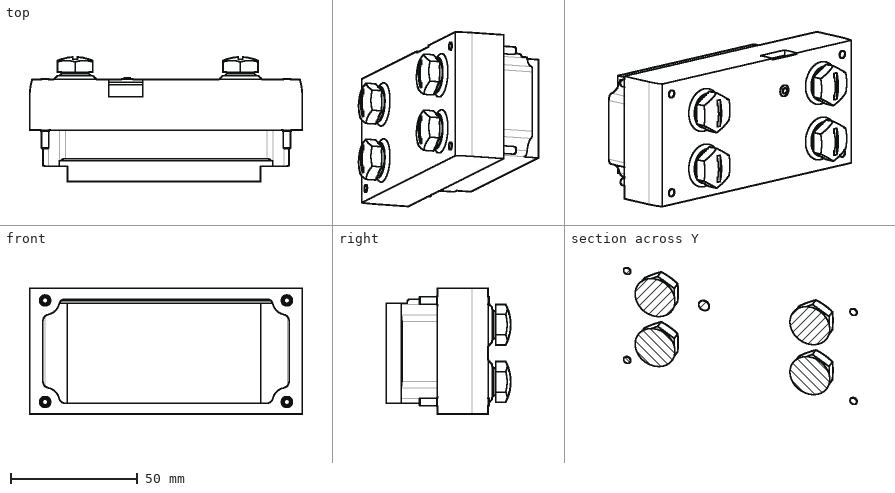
import cadquery as cq
import math


housing_width = 107.6
housing_height = 49.7
housing_depth = 20.0
side_inset = 1.0
side_curve_depth = 6.5

insert_half_width = 48.5
insert_half_height = 20.5
shoulder_depth = 14.2
relief_radius = 5.7
relief_fillet = 2.6
end_bevel_width = 0.8
end_bevel_depth = 0.2
rail_depth = 11.9
rail_chamfer = 0.8
slab_half_width = 38.1
slab_x = -0.8
slab_depth = 20.2
slab_top = 18.9

pin_x = 47.7
pin_z = 20.0
pin_diameter = 3.0
pin_front_length = 7.2
pin_back_length = 0.3
pin_chamfer = 0.38
collar_diameter = 3.3
collar_length = 0.3
countersink_diameter = 4.3

pocket_x = -15.8
pocket_width = 13.3
pocket_length = 6.9
pocket_depth = 2.2
lip_length = 1.1
lip_depth = 0.5
lip_slope_length = 1.1

button_x = -15.3
button_z = 10.8
button_diameter = 4.5
button_height = 0.3
button_tip_diameter = 2.3
button_tip_height = 0.6

bolt_columns = (-35.8, 29.4)
bolt_rows = (-12.0, 10.4)
bolt_height = 8.9
hex_across_flats = 14.0
hex_start = 2.9
dome_radius = 17.2
slot_width = 1.7
slot_depth = 0.9
neck_diameter = 10.9
washer_diameter = 12.5
washer_top = 2.3
cone_base_diameter = 17.1
cone_top_diameter = 14.0
cone_height = 1.5

total_depth = slab_depth + housing_depth + bolt_height
slab_y = -total_depth / 2
front_y = slab_y + slab_depth
back_y = front_y + housing_depth
shoulder_y = front_y - shoulder_depth

pin_places = [(x, z) for x in (-pin_x, pin_x) for z in (-pin_z, pin_z)]
bolt_places = [(x, z) for x in bolt_columns for z in bolt_rows]


def prism_along_y(outline, y_start, y_end):
    """Extrude an outline drawn on the XZ plane between two Y levels."""
    return outline.extrude(y_end - y_start).translate((0, y_end, 0))


def revolved(profile, x, y, z):
    """Turn a closed profile of (radius, distance along +Y) points about Y and place it."""
    turned = cq.Workplane("XY").polyline(profile).close().revolve(360, (0, 0), (0, 1))
    return turned.translate((x, y, z))


def housing_block():
    """Block whose left and right sides curve inwards towards the back."""
    half_width = housing_width / 2
    curve_start = back_y - side_curve_depth
    curve_radius = (side_curve_depth**2 + side_inset**2) / (2 * side_inset)
    return (
        cq.Workplane("XY")
        .moveTo(-half_width, front_y)
        .lineTo(half_width, front_y)
        .lineTo(half_width, curve_start)
        .radiusArc((half_width - side_inset, back_y), -curve_radius)
        .lineTo(-half_width + side_inset, back_y)
        .radiusArc((-half_width, curve_start), -curve_radius)
        .close()
        .extrude(housing_height / 2, both=True)
    )


def relieved_shoulder():
    """Rectangular shoulder with a rounded relief around each corner pin."""
    plan = cq.Workplane("XZ").rect(2 * insert_half_width, 2 * insert_half_height)
    reliefs = cq.Workplane("XZ").pushPoints(pin_places).circle(relief_radius)
    shoulder = prism_along_y(plan, shoulder_y, front_y)
    shoulder = shoulder.cut(prism_along_y(reliefs, shoulder_y, front_y))
    return shoulder.edges("|Y").fillet(relief_fillet)


def end_bevel(side):
    """Cutter for the flat bevel on one end of the shoulder; side is -1 or 1."""
    return (
        cq.Workplane("XY")
        .moveTo(side * insert_half_width, shoulder_y)
        .lineTo(side * insert_half_width, shoulder_y + end_bevel_depth)
        .lineTo(side * (insert_half_width - end_bevel_width), shoulder_y)
        .close()
        .extrude(insert_half_height, both=True)
    )


def rail_step():
    """Cutter that lowers the shoulder in front of its top rail and chamfers the rail."""
    rail_y = front_y - rail_depth
    return (
        cq.Workplane("YZ")
        .moveTo(shoulder_y, slab_top)
        .lineTo(rail_y, slab_top)
        .lineTo(rail_y, insert_half_height - rail_chamfer)
        .lineTo(rail_y + rail_chamfer, insert_half_height)
        .lineTo(shoulder_y, insert_half_height)
        .close()
        .extrude(insert_half_width, both=True)
    )


def raised_slab():
    """Rectangular slab standing on the front of the shoulder."""
    slab_height = slab_top + insert_half_height
    slab_z = (slab_top - insert_half_height) / 2
    plan = cq.Workplane("XZ").center(slab_x, slab_z).rect(2 * slab_half_width, slab_height)
    return prism_along_y(plan, slab_y, shoulder_y)


def insert():
    """Complete insert: shoulder, end bevels, top rail and slab."""
    shoulder = relieved_shoulder().cut(rail_step())
    for side in (-1, 1):
        shoulder = shoulder.cut(end_bevel(side))
    return shoulder.union(raised_slab())


def label_pocket():
    """Cutter for the pocket in the top face, with a sloped lip at the back edge."""
    top = housing_height / 2
    floor = top - pocket_depth
    lip = top - lip_depth
    pocket_start = back_y - pocket_length
    lip_start = back_y - lip_length
    return (
        cq.Workplane("YZ")
        .moveTo(pocket_start, top)
        .lineTo(pocket_start, floor)
        .lineTo(lip_start - lip_slope_length, floor)
        .lineTo(lip_start, lip)
        .lineTo(back_y, lip)
        .lineTo(back_y, top)
        .close()
        .extrude(pocket_width / 2, both=True)
        .translate((pocket_x, 0, 0))
    )


def button():
    """Low stepped disc on the back face."""
    base = button_diameter / 2
    tip = button_tip_diameter / 2
    profile = [
        (0, 0),
        (base, 0),
        (base, button_height),
        (tip, button_height),
        (tip, button_tip_height),
        (0, button_tip_height),
    ]
    return revolved(profile, button_x, back_y, button_z)


def countersink(x, z):
    """45 degree cone that opens a pin hole at the front face."""
    mouth = countersink_diameter / 2
    hole = pin_diameter / 2
    depth = mouth - hole
    return revolved([(0, 0), (mouth, 0), (hole, depth), (0, depth)], x, front_y, z)


def make_pin(x, z):
    """Pin through the full housing depth, with a chamfered tip and a thin collar at the front face."""
    radius = pin_diameter / 2
    collar = collar_diameter / 2
    collar_end = (countersink_diameter - collar_diameter) / 2
    tip = -pin_front_length
    end = housing_depth + pin_back_length
    profile = [
        (0, tip),
        (radius - pin_chamfer, tip),
        (radius, tip + pin_chamfer),
        (radius, -collar_length),
        (collar, -collar_length),
        (collar, collar_end),
        (radius, collar_end),
        (radius, end),
        (0, end),
    ]
    return revolved(profile, x, front_y, z)


def make_housing(pins):
    """Housing with its insert, button and pocket, and a matching hole for each pin."""
    body = housing_block().union(insert()).union(button()).cut(label_pocket())
    for (x, z), pin in zip(pin_places, pins):
        body = body.cut(countersink(x, z)).cut(pin)
    return body


def bolt_seat():
    """Conical flange, tapered washer and neck under the bolt head, starting at Y = 0."""
    washer = washer_diameter / 2
    neck = neck_diameter / 2
    profile = [
        (0, 0),
        (cone_base_diameter / 2, 0),
        (cone_top_diameter / 2, cone_height),
        (washer, cone_height),
        (neck, washer_top),
        (neck, hex_start),
        (0, hex_start),
    ]
    return revolved(profile, 0, 0, 0)


def bolt_head():
    """Domed hexagon with corners at top and bottom and a vertical screwdriver slot."""
    across_corners = hex_across_flats / math.cos(math.pi / 6)
    hexagon = cq.Workplane("XZ").polygon(6, across_corners)
    head = prism_along_y(hexagon, hex_start, bolt_height).rotate((0, 0, 0), (0, 1, 0), 30)
    dome = cq.Workplane("XY").sphere(dome_radius).translate((0, bolt_height - dome_radius, 0))
    slot = cq.Workplane("XZ").rect(slot_width, across_corners)
    return head.intersect(dome).cut(prism_along_y(slot, bolt_height - slot_depth, bolt_height))


def make_bolt(x, z):
    """Terminal bolt resting on the back face of the housing."""
    return bolt_seat().union(bolt_head()).translate((x, back_y, z))


pins = [make_pin(x, z) for x, z in pin_places]
bolts = [make_bolt(x, z) for x, z in bolt_places]
housing = make_housing(pins)

result = cq.Compound.makeCompound(
    [housing.val(), *[pin.val() for pin in pins], *[bolt.val() for bolt in bolts]]
)